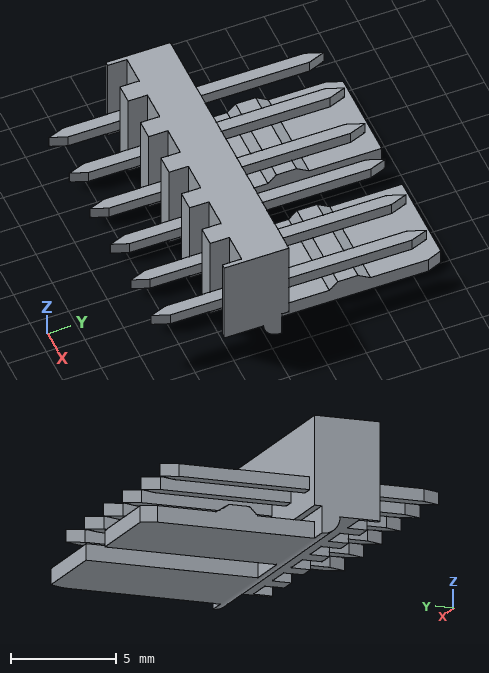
import cadquery as cq


pin_count = 6
pin_pitch = 2.5
pin_width = 0.63
pin_mid_z = 2.6
pin_rear_y = 7.52
pin_front_y = -6.7
pin_taper = 0.88

housing_length = 14.5
housing_depth = 3.34
housing_bottom_z = 0.89
housing_top_z = 5.8
slot_depth = 1.0
rib_width = 1.0
slot_width = pin_pitch - rib_width

lip_rear_y = -0.36
lip_front_y = -1.3
lip_step_z = 1.35
lip_radius = housing_bottom_z

tongue_width = 2 * pin_pitch
tongue_mid_x = 1.5 * pin_pitch
tongue_thickness = 0.82
tongue_end_y = 8.4
corner_cut_x = 0.3
corner_cut_y = 0.77

ridge_top_z = 1.24
ridge_foot_rear_y = 4.64
ridge_crest_rear_y = 3.99
ridge_crest_front_y = 2.95
ridge_foot_front_y = 2.5

pin_positions = [(i - (pin_count - 1) / 2) * pin_pitch for i in range(pin_count)]


def make_housing():
    """Housing block and its rounded lip, extruded along X, with a front slot at every pin."""
    profile = (
        cq.Workplane("YZ")
        .moveTo(0, housing_top_z)
        .lineTo(-housing_depth, housing_top_z)
        .lineTo(-housing_depth, housing_bottom_z)
        .lineTo(lip_front_y, housing_bottom_z)
        .radiusArc((lip_front_y + lip_radius, 0), -lip_radius)
        .lineTo(lip_rear_y, 0)
        .lineTo(lip_rear_y, lip_step_z)
        .lineTo(0, lip_step_z)
        .close()
    )
    housing = profile.extrude(housing_length / 2, both=True)
    slots = (
        cq.Workplane("XY")
        .pushPoints([(x, -housing_depth + slot_depth / 2) for x in pin_positions])
        .rect(slot_width, slot_depth)
        .extrude(housing_top_z)
    )
    return housing.cut(slots)


def make_pin(x):
    """Square pin through the housing, tapered to an edge at both ends."""
    half = pin_width / 2
    return (
        cq.Workplane("XY", origin=(x, 0, pin_mid_z - half))
        .moveTo(0, pin_rear_y)
        .lineTo(half, pin_rear_y - pin_taper)
        .lineTo(half, pin_front_y + pin_taper)
        .lineTo(0, pin_front_y)
        .lineTo(-half, pin_front_y + pin_taper)
        .lineTo(-half, pin_rear_y - pin_taper)
        .close()
        .extrude(pin_width)
    )


def make_right_tongue():
    """Latch tongue on the +X side with its ridge and the cut on its outer end corner."""
    outer_x = tongue_mid_x + tongue_width / 2
    tongue = (
        cq.Workplane("YZ", origin=(tongue_mid_x, 0, 0))
        .moveTo(lip_rear_y, 0)
        .lineTo(tongue_end_y, 0)
        .lineTo(tongue_end_y, tongue_thickness)
        .lineTo(ridge_foot_rear_y, tongue_thickness)
        .lineTo(ridge_crest_rear_y, ridge_top_z)
        .lineTo(ridge_crest_front_y, ridge_top_z)
        .lineTo(ridge_foot_front_y, tongue_thickness)
        .lineTo(lip_rear_y, tongue_thickness)
        .close()
        .extrude(tongue_width / 2, both=True)
    )
    corner = (
        cq.Workplane("XY")
        .moveTo(outer_x, tongue_end_y)
        .lineTo(outer_x - corner_cut_x, tongue_end_y)
        .lineTo(outer_x, tongue_end_y - corner_cut_y)
        .close()
        .extrude(tongue_thickness)
    )
    return tongue.cut(corner)


right_tongue = make_right_tongue()
result = make_housing().union(right_tongue).union(right_tongue.mirror("YZ"))
for pin_x in pin_positions:
    result = result.union(make_pin(pin_x))